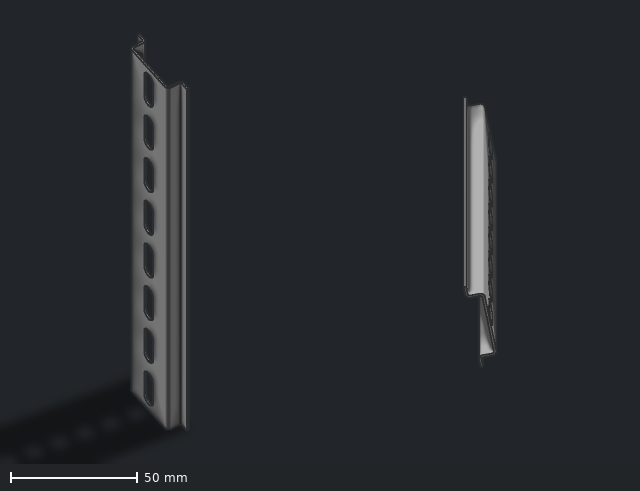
import cadquery as cq

rail_width = 35.0
rail_height = 7.5
rail_length = 200.0
sheet = 1.0
channel_width = 27.0
inner_bend_radius = 0.8
outer_bend_radius = inner_bend_radius + sheet

slot_width = 6.3
slot_length = 18.0
slot_pitch = 25.0
slot_count = 8

web_face_y = 0.0
flange_back_y = web_face_y + rail_height


def hat_outline():
    """Closed hat-shaped cross-section with sharp bends."""
    half_rail = rail_width / 2
    half_channel = channel_width / 2
    half_inside = half_channel - sheet
    flange_front_y = flange_back_y - sheet
    web_back_y = web_face_y + sheet
    return (
        cq.Workplane("XY")
        .moveTo(-half_rail, flange_back_y)
        .lineTo(-half_inside, flange_back_y)
        .lineTo(-half_inside, web_back_y)
        .lineTo(half_inside, web_back_y)
        .lineTo(half_inside, flange_back_y)
        .lineTo(half_rail, flange_back_y)
        .lineTo(half_rail, flange_front_y)
        .lineTo(half_channel, flange_front_y)
        .lineTo(half_channel, web_face_y)
        .lineTo(-half_channel, web_face_y)
        .lineTo(-half_channel, flange_front_y)
        .lineTo(-half_rail, flange_front_y)
        .close()
    )


def bend_edges(body, half_width, y):
    """Pair of lengthwise edges at +/- half_width and height y."""
    tolerance = sheet / 10
    selector = cq.selectors.BoxSelector(
        (-half_width - tolerance, y - tolerance, 0),
        (-half_width + tolerance, y + tolerance, rail_length),
    ) + cq.selectors.BoxSelector(
        (half_width - tolerance, y - tolerance, 0),
        (half_width + tolerance, y + tolerance, rail_length),
    )
    return body.edges("|Z").edges(selector)


def bent_rail():
    """Rail body with concentric radii at its four bends."""
    half_channel = channel_width / 2
    half_inside = half_channel - sheet
    bends = [
        (half_channel, web_face_y, outer_bend_radius),
        (half_inside, web_face_y + sheet, inner_bend_radius),
        (half_inside, flange_back_y, outer_bend_radius),
        (half_channel, flange_back_y - sheet, inner_bend_radius),
    ]
    body = hat_outline().extrude(rail_length)
    for half_width, y, radius in bends:
        body = bend_edges(body, half_width, y).fillet(radius)
    return body


def web_slots():
    """Row of lengthwise slots through the web, centred on the rail."""
    return (
        cq.Workplane("XZ", origin=(0, web_face_y, rail_length / 2))
        .rarray(1, slot_pitch, 1, slot_count)
        .slot2D(slot_length, slot_width, 90)
        .extrude(-sheet)
    )


result = bent_rail().cut(web_slots())